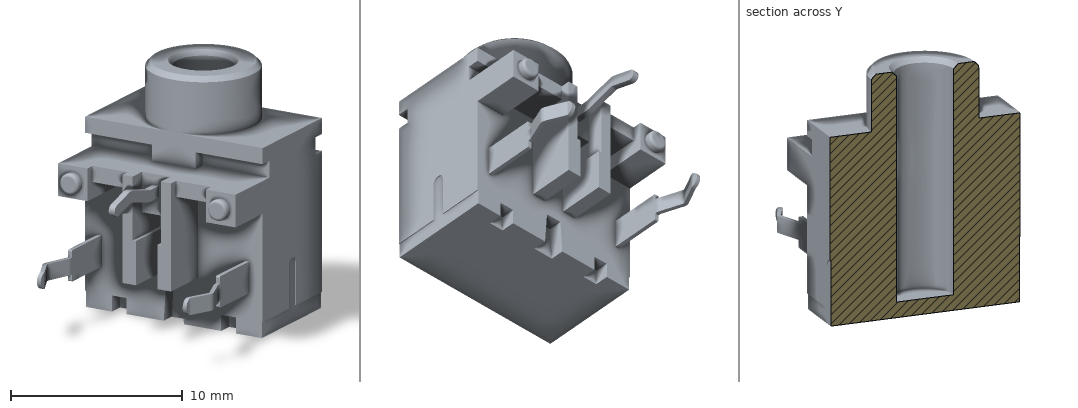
import cadquery as cq
import math


total_height = 15.1
housing_width = 12.0
housing_half_depth = 3.4
housing_top = 11.6
base_height = 0.98
base_inset = 0.06
front_face = -housing_half_depth

barrel_radius = housing_half_depth
bore_radius = 1.78
barrel_chamfer = 0.3

groove_top = 10.62
groove_bottom = 9.59
groove_depth = 0.75
front_groove_gap = 2.96

side_tab_half_width = 0.41
side_tab_top = 4.0
notch_depth = 0.9
foot_notch_inner = 3.2
foot_notch_outer = 4.18
mouth_bottom_width = 1.36
mouth_top_width = 1.05
mouth_height = 2.11

shelf_front = -6.5
shelf_top = groove_bottom
corner_block_width = 2.0
corner_block_bottom = 7.6
side_panel_front = -5.9
side_panel_bottom = 8.6
center_panel_front = -5.42
center_panel_bottom = 7.13
rib_inner = 0.95
rib_outer = 1.65
rib_bottom = 2.99
rib_step_inner = 0.72
rib_step_top = 5.7

peg_spacing = 10.0
peg_height = 8.58
peg_radius = 0.63
peg_length = 0.5
peg_fillet = 0.18

terminal_end = -10.51
side_terminal_height = 3.6
side_terminal_thickness = 0.25
side_blade_height = 1.92
side_blade_end = -6.83
side_blade_corner = 0.09
side_tongue_height = 1.03
side_bend_start = -7.0
bend_apex = -8.64
side_bend_end = -10.1
side_apex_offset = 0.62
side_tip_offset = 0.08
center_terminal_width = 0.41
center_terminal_thickness = 0.71
center_flat_height = 8.58
center_apex_height = 9.12
center_tip_height = 8.68
bend_radius = 0.23
embed = 0.3


def box(x_min, x_max, y_min, y_max, z_min, z_max):
    """Block given by its limits along each axis."""
    size = (x_max - x_min, y_max - y_min, z_max - z_min)
    return cq.Workplane("XY").box(*size, centered=False).translate((x_min, y_min, z_min))


def both_sides(shape):
    """The shape together with its mirror image across the YZ plane."""
    return shape.union(shape.mirror("YZ"))


def ribbon(plane, path, thickness, width):
    """Bent strip of constant thickness along a centre path, extruded both ways from the plane."""
    headings = [
        math.atan2(end[1] - start[1], end[0] - start[0])
        for start, end in zip(path, path[1:])
    ]
    left_side = []
    right_side = []
    turns = []
    for index, (u, v) in enumerate(path):
        before = headings[max(index - 1, 0)]
        after = headings[min(index, len(headings) - 1)]
        turn = math.remainder(after - before, 2 * math.pi)
        turns.append(turn)
        normal = before + turn / 2 + math.pi / 2
        reach = thickness / 2 / math.cos(turn / 2)
        du = reach * math.cos(normal)
        dv = reach * math.sin(normal)
        left_side.append((u + du, v + dv))
        right_side.append((u - du, v - dv))
    workplane = cq.Workplane(plane)
    strip = workplane.polyline(left_side + right_side[::-1]).close().extrude(width / 2, both=True)

    for index in range(1, len(path) - 1):
        inner, outer = left_side[index], right_side[index]
        if turns[index] < 0:
            inner, outer = outer, inner
        for corner, radius in ((inner, bend_radius), (outer, bend_radius + thickness)):
            place = workplane.plane.toWorldCoords(corner)
            strip = strip.edges(cq.NearestToPointSelector(place.toTuple())).fillet(radius)
    return strip


def make_housing():
    half_width = housing_width / 2
    base_half_width = half_width - base_inset
    half_depth = housing_half_depth
    body = box(-half_width, half_width, -half_depth, half_depth, base_height, housing_top)
    base = box(-base_half_width, base_half_width, -half_depth, half_depth, 0, base_height)

    tab_recess = (
        cq.Workplane("YZ", origin=(base_half_width, 0, 0))
        .moveTo(-side_tab_half_width, base_height)
        .lineTo(-side_tab_half_width, side_tab_top - side_tab_half_width)
        .threePointArc((0, side_tab_top), (side_tab_half_width, side_tab_top - side_tab_half_width))
        .lineTo(side_tab_half_width, base_height)
        .close()
        .extrude(base_inset)
    )

    groove_floor = half_depth - groove_depth
    rear_groove = box(-half_width, half_width, groove_floor, half_depth, groove_bottom, groove_top)
    front_groove = box(
        front_groove_gap / 2, half_width, front_face, -groove_floor, groove_bottom, groove_top
    )
    housing = body.union(base).cut(both_sides(tab_recess))
    return housing.cut(rear_groove).cut(both_sides(front_groove))


def make_base_notches():
    notch_back = front_face + notch_depth
    foot_notch = box(foot_notch_inner, foot_notch_outer, front_face, notch_back, 0, base_height)
    mouth = (
        cq.Workplane("XZ", origin=(0, notch_back, 0))
        .polyline([
            (-mouth_bottom_width / 2, 0),
            (-mouth_top_width / 2, mouth_height),
            (mouth_top_width / 2, mouth_height),
            (mouth_bottom_width / 2, 0),
        ])
        .close()
        .extrude(notch_depth)
    )
    return both_sides(foot_notch).union(mouth)


def make_barrel():
    return (
        cq.Workplane("XY", origin=(0, 0, housing_top))
        .circle(barrel_radius)
        .extrude(total_height - housing_top)
        .faces(">Z")
        .chamfer(barrel_chamfer)
    )


def make_bore():
    """Blind bore reaching down to the base, with a countersunk entry."""
    return (
        cq.Workplane("XZ")
        .polyline([
            (0, base_height),
            (bore_radius, base_height),
            (bore_radius, total_height - barrel_chamfer),
            (bore_radius + barrel_chamfer, total_height),
            (0, total_height),
        ])
        .close()
        .revolve(360, (0, 0), (0, 1))
    )


def make_shelf():
    """Center panel plus, on each side, a rib, a side panel and a corner block."""
    half_width = housing_width / 2
    corner_inner = half_width - corner_block_width
    center_panel = box(
        -rib_inner, rib_inner, center_panel_front, front_face, center_panel_bottom, shelf_top
    )
    rib = box(rib_inner, rib_outer, shelf_front, front_face, rib_bottom, shelf_top)
    rib_step = box(rib_step_inner, rib_inner, shelf_front, front_face, rib_bottom, rib_step_top)
    side_panel = box(
        rib_outer, corner_inner, side_panel_front, front_face, side_panel_bottom, shelf_top
    )
    corner_block = box(
        corner_inner, half_width, shelf_front, front_face, corner_block_bottom, shelf_top
    )
    right_half = rib.union(rib_step).union(side_panel).union(corner_block)
    return center_panel.union(both_sides(right_half))


def make_pegs():
    peg = (
        cq.Workplane("XZ", origin=(peg_spacing / 2, shelf_front, peg_height))
        .circle(peg_radius)
        .extrude(peg_length)
        .faces("<Y")
        .edges()
        .fillet(peg_fillet)
    )
    return both_sides(peg)


def make_side_terminals():
    """Wide blades narrowing to kinked, round-ended tongues."""
    blade_x = peg_spacing / 2
    path = [
        (blade_x, front_face + embed),
        (blade_x, side_bend_start),
        (blade_x + side_apex_offset, bend_apex),
        (blade_x - side_tip_offset, side_bend_end),
        (blade_x - side_tip_offset, terminal_end),
    ]
    strip = ribbon("XY", path, side_terminal_thickness, side_blade_height)
    strip = strip.translate((0, 0, side_terminal_height))

    blade_start = front_face + embed
    blade = (
        box(0, housing_width / 2, side_blade_end, blade_start, 0, side_blade_height)
        .translate((0, 0, side_terminal_height - side_blade_height / 2))
        .edges("|X and <Y")
        .fillet(side_blade_corner)
    )
    tip_radius = side_tongue_height / 2
    tip_y = terminal_end + tip_radius
    tongue = (
        box(0, housing_width / 2, tip_y, blade_start, 0, side_tongue_height)
        .translate((0, 0, side_terminal_height - tip_radius))
    )
    tip_round = (
        cq.Workplane("YZ")
        .center(tip_y, side_terminal_height)
        .circle(tip_radius)
        .extrude(housing_width / 2)
    )
    silhouette = blade.union(tongue).union(tip_round)
    return both_sides(strip.intersect(silhouette))


def make_center_terminal():
    """Strip standing on edge, bent upward then down, with a round end."""
    tip_radius = center_terminal_thickness / 2
    tip_y = terminal_end + tip_radius
    path = [
        (center_panel_front + embed, center_flat_height),
        (shelf_front, center_flat_height),
        (bend_apex, center_apex_height),
        (tip_y, center_tip_height),
    ]
    strip = ribbon("YZ", path, center_terminal_thickness, center_terminal_width)
    tip = (
        cq.Workplane("YZ")
        .center(tip_y, center_tip_height)
        .circle(tip_radius)
        .extrude(center_terminal_width / 2, both=True)
    )
    return strip.union(tip)


result = (
    make_housing()
    .union(make_barrel())
    .cut(make_bore())
    .cut(make_base_notches())
    .union(make_shelf())
    .union(make_pegs())
    .union(make_side_terminals())
    .union(make_center_terminal())
)